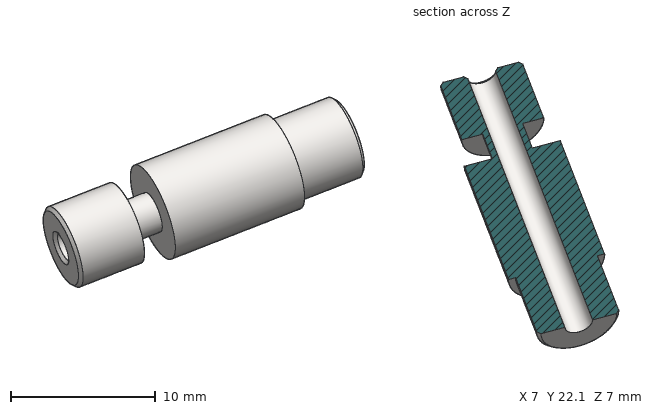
import cadquery as cq

total_length = 22.1
end_length = 5.0
body_length = 10.0
neck_length = total_length - body_length - 2 * end_length

body_diameter = 7.0
end_diameter = 6.0
neck_diameter = 2.95
bore_diameter = 2.0
edge_chamfer = 0.25


def cylinder(start_y, length, diameter):
    """Solid cylinder along +Y, starting at start_y."""
    axis_start = cq.Vector(0, start_y, 0)
    return cq.Workplane(cq.Solid.makeCylinder(diameter / 2, length, axis_start, cq.Vector(0, 1, 0)))


front_y = -total_length / 2
neck_y = front_y + end_length
body_y = neck_y + neck_length
rear_y = body_y + body_length

front_end = cylinder(front_y, end_length, end_diameter).faces("<Y").chamfer(edge_chamfer)
rear_end = cylinder(rear_y, end_length, end_diameter).faces(">Y").chamfer(edge_chamfer)

neck = cylinder(neck_y, neck_length, neck_diameter)
body = cylinder(body_y, body_length, body_diameter)

bore = cylinder(front_y, total_length, bore_diameter)
result = front_end.union(neck).union(body).union(rear_end).cut(bore)
result = result.faces("<Y").edges("%CIRCLE").edges(cq.selectors.RadiusNthSelector(0)).chamfer(edge_chamfer)